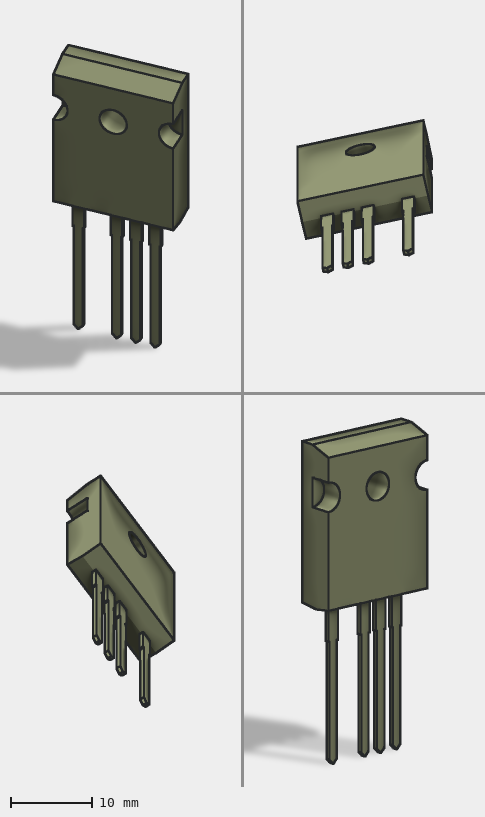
import cadquery as cq

total_height = 41.1
body_width = 15.9
body_depth = 5.0

body_height = 20.95
bottom_ridge_height = 0.33
top_slope_height = 1.03
back_layer_depth = 1.97
lead_plane_depth = 2.7

hole_diameter = 3.6
notch_diameter = 3.8
hole_drop = 6.12

lead_thickness = 0.58
shoulder_width = 1.52
shank_width = 1.2
shoulder_length = 4.4
tip_length = 0.6
lead_pitch = 2.55
second_lead_x = -0.35
lead_slots = (-2, 0, 1, 2)
lead_embed = 0.82

front_y = -body_depth / 2
back_y = body_depth / 2
notch_floor_y = back_y - back_layer_depth
lead_y = back_y - lead_plane_depth
body_bottom_z = total_height - body_height
hole_z = total_height - hole_drop


def make_body():
    """Extrude the side profile symmetrically across the width."""
    bottom_edge_z = body_bottom_z + bottom_ridge_height
    profile = [
        (front_y, bottom_edge_z),
        (lead_y, body_bottom_z),
        (back_y, bottom_edge_z),
        (back_y, total_height),
        (notch_floor_y, total_height),
        (front_y, total_height - top_slope_height),
    ]
    return cq.Workplane("YZ").polyline(profile).close().extrude(body_width / 2, both=True)


def make_front_cut(x, diameter, depth):
    """Round cutter at the hole height, going back from the front face."""
    return (
        cq.Workplane("XZ", origin=(x, front_y, hole_z))
        .circle(diameter / 2)
        .extrude(-depth)
    )


def make_lead(x):
    """Flat stepped lead with a pointed tip."""
    half_shoulder = shoulder_width / 2
    half_shank = shank_width / 2
    lead_top_z = body_bottom_z + lead_embed
    step_z = body_bottom_z - shoulder_length
    outline = [
        (-half_shoulder, lead_top_z),
        (half_shoulder, lead_top_z),
        (half_shoulder, step_z),
        (half_shank, step_z),
        (half_shank, tip_length),
        (0, 0),
        (-half_shank, tip_length),
        (-half_shank, step_z),
        (-half_shoulder, step_z),
    ]
    return (
        cq.Workplane("XZ", origin=(x, lead_y, 0))
        .polyline(outline)
        .close()
        .extrude(lead_thickness / 2, both=True)
    )


result = make_body().cut(make_front_cut(0, hole_diameter, body_depth))

notch_depth = body_depth - back_layer_depth
for side in (-1, 1):
    result = result.cut(make_front_cut(side * body_width / 2, notch_diameter, notch_depth))

for slot in lead_slots:
    result = result.union(make_lead(second_lead_x + slot * lead_pitch))